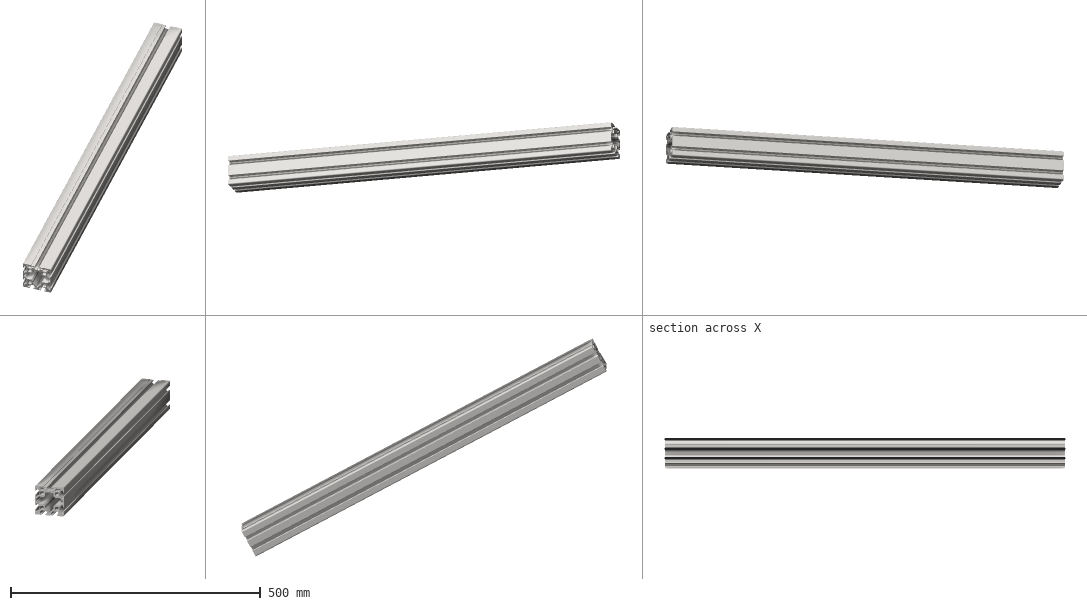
import cadquery as cq

SIZE = 60.0
LENGTH = 800.0
CORNER_RADIUS = 2.0
HALF = SIZE / 2

BORE_SPACING = 30.0
BORE_WIDTH = 7.6
BORE_CORNER_RADIUS = 1.0
CORE_OUTER = 21.0
CORE_INNER = 9.0
CORE_UNDERCUT = 7.6
CORE_CHAMFER = 2.9

THIN_LIP = 2.0
LIP_CHAMFER = 0.5
SIDE_SLOT_CENTRE = BORE_SPACING / 2
SIDE_SLOT_OPENING = 9.0
SIDE_SLOT_CAVITY = 17.0
BOTTOM_SLOT_SPACING = 23.0
BOTTOM_SLOT_OPENING = 8.0
BOTTOM_SLOT_CAVITY = 16.0

TOP_SLOT_OPENING_HALF = 4.6
TOP_SLOT_CAVITY = 47.0
TOP_LIP = 3.0
TOP_RECESS_WIDTH = 24.0
TOP_RECESS_DEPTH = 1.0

RIDGE_SPACING = 23.0
RIDGE_TOP_WIDTH = 3.7
RIDGE_HEIGHT = 3.0

GROOVE_DEPTH = 1.0

CORNER_WEB_OFFSET = 2.0
SIDE_WEB_START = 26.0
SIDE_WEB_RISE = 5.0
SIDE_WEB_ROOT = 22.0
BOTTOM_WEB_START = 25.0
BOTTOM_WEB_RUN = 2.8
STRUT_ROOT = 7.6

CHAMBER_TOP = 18.0
CHAMBER_TOP_CHAMFER = 1.0
SIDE_PAD_THICKNESS = 5.0
SIDE_PAD_OUTER = 4.4
SIDE_PAD_INNER = 3.0
STRUT_TOP = -15.0
VALLEY_SHOULDER_HALF_WIDTH = 2.0
VALLEY_SHOULDER_HEIGHT = 7.1
VALLEY_FLOOR_HALF_WIDTH = 1.0
VALLEY_FLOOR_HEIGHT = 6.0


def prism(points):
    """Full-length bar with the given XZ outline."""
    bar = cq.Workplane("XZ").polyline(points).close()
    return bar.extrude(LENGTH / 2, both=True)


def with_mirror_image(right_half):
    """Close a right-hand half outline with its mirror image in X."""
    return right_half + [(-x, z) for x, z in reversed(right_half) if x != 0]


def mouth_points(centre, width):
    """Slot mouth as (position, depth), from one lip root to the other, with chamfered lips."""
    near = centre - width / 2
    far = centre + width / 2
    return [
        (near, THIN_LIP),
        (near, LIP_CHAMFER),
        (near - LIP_CHAMFER, 0),
        (far + LIP_CHAMFER, 0),
        (far, LIP_CHAMFER),
        (far, THIN_LIP),
    ]


def outer_bar():
    bar = cq.Workplane("XY").box(SIZE, LENGTH, SIZE)
    return bar.edges("|Y").fillet(CORNER_RADIUS)


def side_slot():
    """Upper slot on the +X side."""
    near = SIDE_SLOT_CENTRE - SIDE_SLOT_CAVITY / 2
    far = SIDE_SLOT_CENTRE + SIDE_SLOT_CAVITY / 2
    lip_x = HALF - THIN_LIP
    mouth = [(HALF - depth, z) for z, depth in mouth_points(SIDE_SLOT_CENTRE, SIDE_SLOT_OPENING)]
    cavity = [
        (lip_x, far),
        (far + CORNER_WEB_OFFSET, far),
        (CORE_OUTER, CORE_OUTER - CORNER_WEB_OFFSET),
        (CORE_OUTER, SIDE_SLOT_CENTRE + GROOVE_DEPTH),
        (CORE_OUTER - GROOVE_DEPTH, SIDE_SLOT_CENTRE),
        (CORE_OUTER, SIDE_SLOT_CENTRE - GROOVE_DEPTH),
        (CORE_OUTER, near + SIDE_WEB_RISE),
        (SIDE_WEB_START, near),
        (lip_x, near),
    ]
    return prism(mouth + cavity)


def bottom_slot():
    """Right-hand slot on the underside."""
    centre = BOTTOM_SLOT_SPACING / 2
    near = centre - BOTTOM_SLOT_CAVITY / 2
    far = centre + BOTTOM_SLOT_CAVITY / 2
    lip_z = THIN_LIP - HALF
    mouth = [(x, depth - HALF) for x, depth in mouth_points(centre, BOTTOM_SLOT_OPENING)]
    cavity = [
        (far, lip_z),
        (far, -BOTTOM_WEB_START),
        (far - BOTTOM_WEB_RUN, -CORE_OUTER),
        (STRUT_ROOT, -CORE_OUTER),
        (near, -BOTTOM_WEB_START),
        (near, lip_z),
    ]
    return prism(mouth + cavity)


def top_slot():
    """Wide central slot, with its recess, floor ridges and centring groove."""
    cavity_half = TOP_SLOT_CAVITY / 2
    recess_half = TOP_RECESS_WIDTH / 2
    recess_floor = HALF - TOP_RECESS_DEPTH
    lip_z = HALF - TOP_LIP
    ridge_outer = RIDGE_SPACING / 2
    ridge_inner = ridge_outer - RIDGE_TOP_WIDTH
    ridge_top = CORE_OUTER + RIDGE_HEIGHT
    mouth = [
        (recess_half, HALF),
        (recess_half, recess_floor),
        (TOP_SLOT_OPENING_HALF, recess_floor),
        (TOP_SLOT_OPENING_HALF, lip_z),
    ]
    cavity = [
        (cavity_half, lip_z),
        (cavity_half, cavity_half + CORNER_WEB_OFFSET),
        (CORE_OUTER - CORNER_WEB_OFFSET, CORE_OUTER),
    ]
    floor = [
        (ridge_outer, CORE_OUTER),
        (ridge_outer, ridge_top),
        (ridge_inner, ridge_top),
        (ridge_inner - RIDGE_HEIGHT, CORE_OUTER),
        (GROOVE_DEPTH, CORE_OUTER),
        (0, CORE_OUTER - GROOVE_DEPTH),
    ]
    return prism(with_mirror_image(mouth + cavity + floor))


def central_chamber():
    """Hollow between the cores, reaching the thin middle of each side wall."""
    roof = [
        (CORE_INNER - CHAMBER_TOP_CHAMFER, CHAMBER_TOP),
        (CORE_INNER, CHAMBER_TOP - CHAMBER_TOP_CHAMFER),
    ]
    upper_bay = [
        (CORE_INNER, CORE_UNDERCUT + CORE_CHAMFER),
        (CORE_INNER + CORE_CHAMFER, CORE_UNDERCUT),
        (SIDE_WEB_ROOT, CORE_UNDERCUT),
        (HALF - SIDE_PAD_THICKNESS, SIDE_PAD_OUTER),
        (HALF - SIDE_PAD_THICKNESS, SIDE_PAD_INNER),
        (HALF - THIN_LIP, SIDE_PAD_INNER),
    ]
    lower_bay = [(x, -z) for x, z in reversed(upper_bay)]
    valley = [
        (CORE_INNER, STRUT_TOP),
        (VALLEY_SHOULDER_HALF_WIDTH, VALLEY_SHOULDER_HEIGHT - HALF),
        (VALLEY_FLOOR_HALF_WIDTH, VALLEY_FLOOR_HEIGHT - HALF),
    ]
    return prism(with_mirror_image(roof + upper_bay + lower_bay + valley))


def bores():
    grid = cq.Workplane("XZ").rarray(BORE_SPACING, BORE_SPACING, 2, 2)
    bars = grid.rect(BORE_WIDTH, BORE_WIDTH).extrude(LENGTH / 2, both=True)
    return bars.edges("|Y").fillet(BORE_CORNER_RADIUS)


upper_right_slot = side_slot()
right_hand_slots = [upper_right_slot, upper_right_slot.mirror("XY"), bottom_slot()]

result = outer_bar().cut(top_slot()).cut(central_chamber()).cut(bores())
for slot in right_hand_slots:
    result = result.cut(slot).cut(slot.mirror("YZ"))